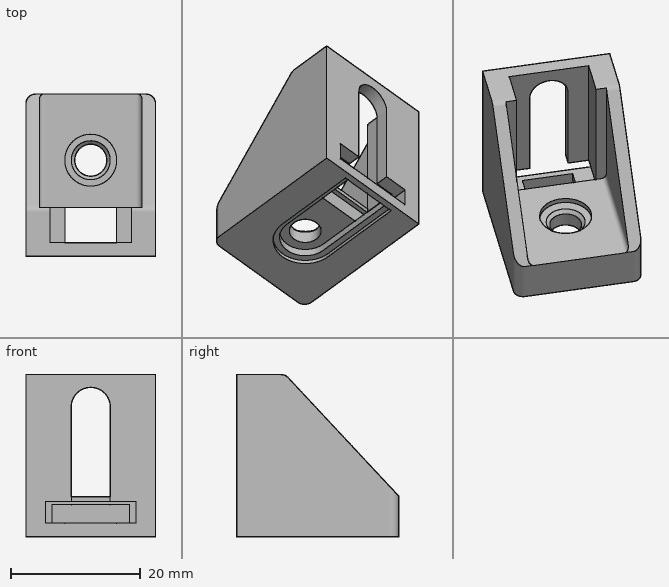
import cadquery as cq

width = 20.0
depth = 25.0
height = 25.0
wall = 2.1
overlap = 1.0

slope_start_y = 7.5
slope_end_z = 6.25
corner_radius = 1.5

shelf_top_z = 6.2
channel_width = width - 2 * wall
channel_fillet = 0.85
well_width = 12.5

plate_slot_width = 14.0
plate_slot_top_z = 5.4

hole_y = 14.8
plate_width = 11.9
plate_length = 13.8
plate_top_z = 4.95
plate_hole_diameter = 4.9
plate_countersink_diameter = 6.0
countersink_angle = 90.0

shelf_hole_diameter = 8.0
floor_opening_width = 7.9
floor_opening_start_y = 1.0
floor_relief_step = 1.0
floor_relief_depth = 0.7
front_slot_width = 6.0
front_slot_top_z = 23.0


def box_between(x_size, y_start, y_end, z_start, z_end):
    """Box centred on X = 0 that spans the given Y and Z ranges."""
    return (
        cq.Workplane("XY")
        .box(x_size, y_end - y_start, z_end - z_start, centered=(True, False, False))
        .translate((0, y_start, z_start))
    )


def vertical_cylinder(diameter, z_start, z_end):
    """Cylinder on the shelf hole axis."""
    return (
        cq.Workplane("XY", origin=(0, hole_y, z_start))
        .circle(diameter / 2)
        .extrude(z_end - z_start)
    )


def make_body():
    """Wedge-shaped block with rounded rear edges and a rounded top of the slope."""
    profile = [
        (0, 0),
        (depth, 0),
        (depth, slope_end_z),
        (slope_start_y, height),
        (0, height),
    ]
    body = cq.Workplane("YZ").polyline(profile).close().extrude(width / 2, both=True)
    top_of_slope = cq.selectors.NearestToPointSelector((0, slope_start_y, height))
    body = body.edges(top_of_slope).fillet(corner_radius)
    return body.edges("|Z and >Y").fillet(corner_radius)


def make_channel():
    """Open channel above the shelf, filleted along both bottom edges."""
    channel = box_between(channel_width, slope_start_y, depth + overlap, shelf_top_z, height + overlap)
    return channel.edges("|Y and <Z").fillet(channel_fillet)


def make_well():
    """Well between the front wall and the shelf, down to the floor."""
    return box_between(well_width, wall, slope_start_y, wall, height + overlap)


def make_plate_slot():
    """Slot below the shelf, open through the front wall and closed at the rear."""
    return box_between(plate_slot_width, -overlap, depth - wall, wall, plate_slot_top_z)


def make_front_slot():
    """Upright slot through the front wall with a round top, running into the plate slot."""
    radius = front_slot_width / 2
    arch_z = front_slot_top_z - radius
    straight = box_between(front_slot_width, -overlap, wall, wall, arch_z)
    arch = (
        cq.Workplane("XZ", origin=(0, -overlap, arch_z))
        .circle(radius)
        .extrude(-(wall + overlap))
    )
    return straight.union(arch)


def round_ended_slot(slot_width, z_start, z_end):
    """Slot along Y, square at the front and round about the hole axis at the rear."""
    straight = box_between(slot_width, floor_opening_start_y, hole_y, z_start, z_end)
    return straight.union(vertical_cylinder(slot_width, z_start, z_end))


def make_floor_opening():
    """Opening through the floor, widened by a shallow relief on the underside."""
    opening = round_ended_slot(floor_opening_width, -overlap, wall)
    relief_width = floor_opening_width + 2 * floor_relief_step
    return opening.union(round_ended_slot(relief_width, -overlap, floor_relief_depth))


def make_plate():
    """Plate with a countersunk hole."""
    y_start = hole_y - plate_length / 2
    plate = box_between(plate_width, y_start, y_start + plate_length, wall, plate_top_z)
    return (
        plate.faces(">Z")
        .workplane(origin=(0, hole_y, plate_top_z))
        .cskHole(plate_hole_diameter, plate_countersink_diameter, countersink_angle)
    )


result = (
    make_body()
    .cut(make_channel())
    .cut(make_well())
    .cut(make_plate_slot())
    .cut(make_front_slot())
    .cut(make_floor_opening())
    .cut(vertical_cylinder(shelf_hole_diameter, wall, shelf_top_z + overlap))
    .union(make_plate())
)